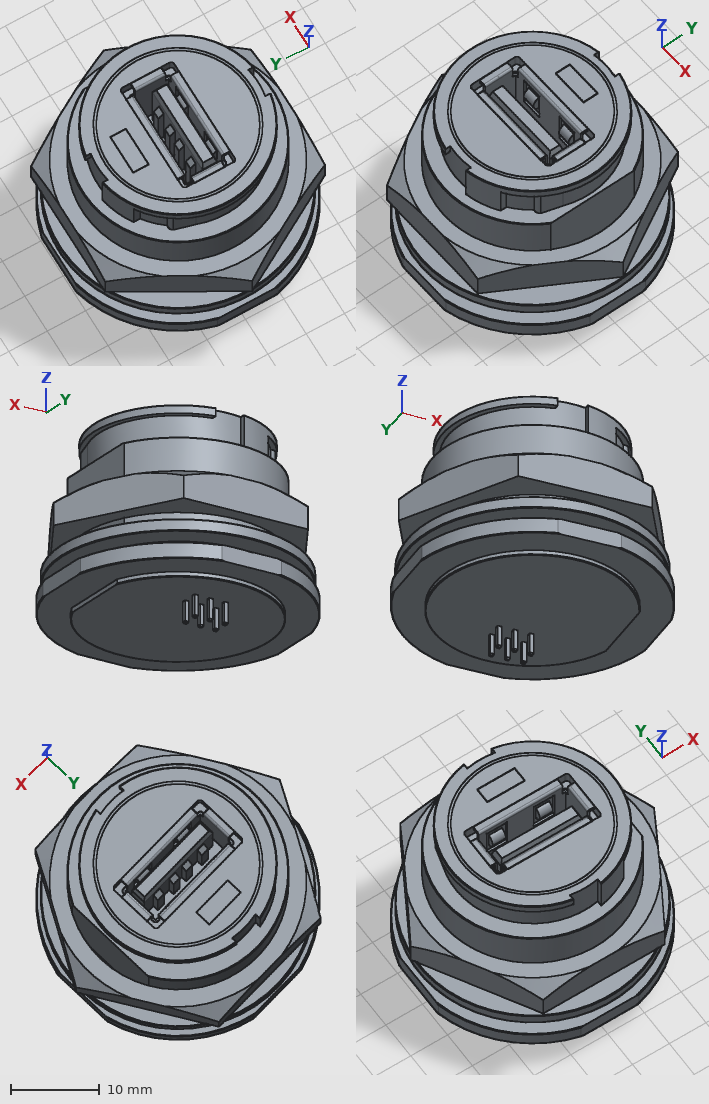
import cadquery as cq
import math

base_top = 0.6
flange_top = 2.58
washer_bottom = 4.17
washer_top = 5.63
nut_bottom = 7.7
nut_top = 11.95
shoulder_top = 17.0
cap_bottom = 20.5
face_top = 21.52

edge_chamfer = 0.1

base_radius = 12.12
base_flat = 11.12
flange_radius = 16.0
flange_across_flats = 31.0
washer_radius = flange_across_flats / 2
thread_radius = 12.48
thread_flat = 10.95

nut_across_corners = 33.1
nut_crown_radius = 14.47
nut_crown_drop = 1.45

cap_radius = 11.15
neck_radius = 10.45
key_slot_half_width = 1.9
ramp_end_x = 6.1
stop_nose_start_y = -6.3
stop_nose_crest = (8.87, -6.25)
stop_nose_end = (9.17, -6.0)
stop_ramp_end_y = -3.45
stop_root_x = 7.3

bead_ring_radius = 9.37
bead_radius = 0.15
label_width = 5.1
label_height = 2.02
label_y = 6.32
label_depth = 0.1

mouth_width = 14.27
mouth_height = 6.9
mouth_depth = 1.45
mouth_corner = 0.4
lip_depth = 0.1
lip_rounding = 0.3
lip_thickness = 0.4
lip_end_inset = 0.4
socket_width = 12.25
socket_height = 4.77
socket_depth = 8.95
flare_width = socket_width + 2 * lip_rounding
flare_height = socket_height + 2 * lip_rounding
socket_bottom = face_top - socket_depth

window_x = 3.2
window_width = 2.8
window_depth = 0.33
window_length = 3.97
window_setback = 1.15
window_top = face_top - window_setback
window_bottom = window_top - window_length
spring_width = 1.8
spring_reach = 0.43
spring_drop = 1.13
spring_top = window_top - spring_drop
spring_length = 2.0

tongue_width = 11.12
tongue_thickness = 1.95
tongue_y = -0.9
tongue_tip_width = 10.45
tongue_tip_thickness = 1.4
tongue_setback = 0.6
tongue_top = face_top - tongue_setback
tongue_taper_length = 1.0

contact_centres = (-3.58, -1.03, 1.03, 3.58)
contact_width = 1.03
contact_reach = 0.7
contact_setback = 2.65
contact_top = face_top - contact_setback
contact_slope = 0.65

pin_pitch = 2.0
pin_columns = (-pin_pitch, 0, pin_pitch)
pin_first_row = 4.8
pin_rows = (pin_first_row, pin_first_row + pin_pitch)
pin_width = 0.5
pin_length = 2.7
pin_tip_inset = 0.1
pin_tip_length = 0.2


def cylinder(radius, bottom, top):
    return cq.Workplane("XY").workplane(offset=bottom).circle(radius).extrude(top - bottom)


def block(width, depth, bottom, top, x=0, y=0):
    """Upright block centred on (x, y)."""
    return cq.Workplane("XY").workplane(offset=bottom).center(x, y).rect(width, depth).extrude(top - bottom)


def cut_flat(body, flat_x):
    """Keep the part of a body on the -X side of a flat."""
    reach = 2 * flange_radius
    keep = block(reach, reach, -reach, reach, x=flat_x - reach / 2)
    return body.intersect(keep)


def base():
    disc = cylinder(base_radius, 0, base_top).faces("<Z").chamfer(edge_chamfer)
    return cut_flat(disc, base_flat)


def flange():
    disc = cylinder(flange_radius, base_top, flange_top).faces("<Z or >Z").chamfer(edge_chamfer)
    return disc.intersect(block(flange_across_flats, flange_across_flats, base_top, flange_top))


def thread_barrel():
    barrel = cylinder(thread_radius, flange_top, shoulder_top).faces(">Z").chamfer(edge_chamfer)
    return cut_flat(barrel, thread_flat)


def bayonet_ramp():
    """Full-radius sector between a key slot and the open travel of the bayonet."""
    width = ramp_end_x - key_slot_half_width
    sector = block(
        width, cap_radius, shoulder_top, cap_bottom,
        x=key_slot_half_width + width / 2, y=-cap_radius / 2,
    )
    return cylinder(cap_radius, shoulder_top, cap_bottom).intersect(sector)


def bayonet_stop():
    """Stop at the end of the travel: a rounded nose and a flat that runs out into the neck."""

    def on_neck(y):
        return math.sqrt(neck_radius**2 - y**2), y

    return (
        cq.Workplane("XY")
        .workplane(offset=shoulder_top)
        .moveTo(*on_neck(stop_nose_start_y))
        .threePointArc(stop_nose_crest, stop_nose_end)
        .lineTo(*on_neck(stop_ramp_end_y))
        .lineTo(stop_root_x, stop_ramp_end_y)
        .close()
        .extrude(cap_bottom - shoulder_top)
    )


def bayonet_cap():
    neck = cylinder(neck_radius, shoulder_top, face_top)
    rim = cylinder(cap_radius, cap_bottom, face_top).faces(">Z").chamfer(edge_chamfer)
    key_slots = block(2 * key_slot_half_width, 3 * cap_radius, cap_bottom, face_top)
    cap = neck.union(rim.cut(key_slots))
    for feature in (bayonet_ramp(), bayonet_stop()):
        for angle in (0, 180):
            cap = cap.union(feature.rotate((0, 0, 0), (0, 0, 1), angle))
    return cap


def face_bead():
    """Half-round raised ring on the front face."""
    section = cq.Workplane("XZ").center(bead_ring_radius, face_top).circle(bead_radius)
    return section.revolve(360, (-bead_ring_radius, 0, 0), (-bead_ring_radius, 1, 0))


def label_recess():
    return block(label_width, label_height, face_top - label_depth, face_top, y=label_y)


def corner_wells():
    """Deep mouth corners between the lips, each with a rounded step down to the chamber."""
    step_bottom = face_top - mouth_depth - lip_rounding
    well = block(mouth_width, mouth_height, face_top - mouth_depth, face_top)
    step = block(flare_width, flare_height, step_bottom, face_top)
    wells = well.edges("|Z").fillet(mouth_corner).union(step.edges("|Z").fillet(lip_rounding))
    lip_length = socket_width - 2 * lip_end_inset
    side_lip_length = socket_height - 2 * lip_end_inset
    for width, height in ((lip_length, mouth_height), (mouth_width, side_lip_length)):
        wells = wells.cut(block(width, height, step_bottom, face_top))
    return wells


def gap_under_lips():
    """Clearance below the lips, around the outside of the socket shell."""
    gap_bottom = face_top - mouth_depth
    gap_top = face_top - lip_depth - lip_thickness
    pocket = block(mouth_width, mouth_height, gap_bottom, gap_top).edges("|Z").fillet(mouth_corner)
    return pocket.cut(block(flare_width, flare_height, gap_bottom, gap_top))


def lip_flare():
    """Widening of the chamber entrance over the quarter-round inner edges of the four lips."""
    flare_bottom = face_top - lip_depth - lip_rounding
    flare = block(flare_width, flare_height, flare_bottom, face_top - lip_depth)
    for plane, span in (("YZ", flare_height), ("XZ", flare_width)):
        for side in (-1, 1):
            rounded_edge = (
                cq.Workplane(plane)
                .center(side * span / 2, flare_bottom)
                .circle(lip_rounding)
                .extrude(mouth_width, both=True)
            )
            flare = flare.cut(rounded_edge)
    return flare


def socket_cavity():
    mouth = block(mouth_width, mouth_height, face_top - lip_depth, face_top)
    mouth = mouth.edges("|Z").fillet(mouth_corner)
    chamber = block(socket_width, socket_height, socket_bottom, face_top - lip_depth)
    return chamber.union(lip_flare()).union(mouth).union(corner_wells()).union(gap_under_lips())


def spring_windows():
    window = block(
        window_width, socket_height + 2 * window_depth, window_bottom, window_top, x=window_x
    )
    return window.union(window.mirror("YZ"))


def spring(side_x, side_y):
    """Rounded spring bump standing out of its window into the plug chamber."""
    root_y = side_y * (socket_height / 2 + window_depth)
    crest_y = side_y * (socket_height / 2 - spring_reach)
    return (
        cq.Workplane("YZ")
        .workplane(offset=side_x * window_x)
        .moveTo(root_y, spring_top)
        .threePointArc((crest_y, spring_top - spring_length / 2), (root_y, spring_top - spring_length))
        .close()
        .extrude(spring_width / 2, both=True)
    )


def tongue():
    taper_start = tongue_top - tongue_taper_length
    shank = block(tongue_width, tongue_thickness, socket_bottom, taper_start, y=tongue_y)
    return (
        shank.faces(">Z").workplane(centerOption="CenterOfMass")
        .rect(tongue_width, tongue_thickness)
        .workplane(offset=tongue_taper_length)
        .rect(tongue_tip_width, tongue_tip_thickness)
        .loft(combine=True)
    )


def contact(x):
    """Contact blade along the +Y side of the tongue, with a sloping tip."""
    tongue_side = tongue_y + tongue_thickness / 2
    return (
        cq.Workplane("YZ")
        .workplane(offset=x)
        .moveTo(tongue_side, socket_bottom)
        .lineTo(tongue_side + contact_reach, socket_bottom)
        .lineTo(tongue_side + contact_reach, contact_top - contact_slope)
        .lineTo(tongue_side, contact_top)
        .close()
        .extrude(contact_width / 2, both=True)
    )


def solder_pin(x, y):
    tip_width = pin_width - 2 * pin_tip_inset
    shank_bottom = pin_tip_length - pin_length
    shank = block(pin_width, pin_width, shank_bottom, 0, x, y)
    tip = (
        cq.Workplane("XY")
        .workplane(offset=-pin_length)
        .center(x, y)
        .rect(tip_width, tip_width)
        .workplane(offset=pin_tip_length)
        .rect(pin_width, pin_width)
        .loft()
    )
    return shank.union(tip)


def make_housing():
    body = base().union(flange()).union(thread_barrel()).union(bayonet_cap()).union(face_bead())
    body = body.cut(label_recess()).cut(socket_cavity()).cut(spring_windows())
    for side_x in (-1, 1):
        for side_y in (-1, 1):
            body = body.union(spring(side_x, side_y))
    body = body.union(tongue())
    for x in contact_centres:
        body = body.union(contact(x))
    for x in pin_columns:
        for y in pin_rows:
            body = body.union(solder_pin(x, y))
    return body


def make_washer():
    ring = cylinder(washer_radius, washer_bottom, washer_top).faces("<Z or >Z").chamfer(edge_chamfer)
    return ring.cut(cylinder(thread_radius, washer_bottom, washer_top))


def make_nut():
    """Hexagonal nut with corners on the X axis and a coned upper face."""
    hexagon = (
        cq.Workplane("XY")
        .workplane(offset=nut_bottom)
        .polygon(6, nut_across_corners)
        .extrude(nut_top - nut_bottom)
    )
    corner_radius = nut_across_corners / 2
    crown = (
        cq.Workplane("XZ")
        .moveTo(0, nut_bottom)
        .lineTo(corner_radius, nut_bottom)
        .lineTo(corner_radius, nut_top - nut_crown_drop)
        .lineTo(nut_crown_radius, nut_top)
        .lineTo(0, nut_top)
        .close()
        .revolve(360, (0, 0, 0), (0, 1, 0))
    )
    return hexagon.intersect(crown).cut(cylinder(thread_radius, nut_bottom, nut_top))


housing = make_housing()
washer = make_washer()
nut = make_nut()

result = cq.Compound.makeCompound([housing.val(), washer.val(), nut.val()])